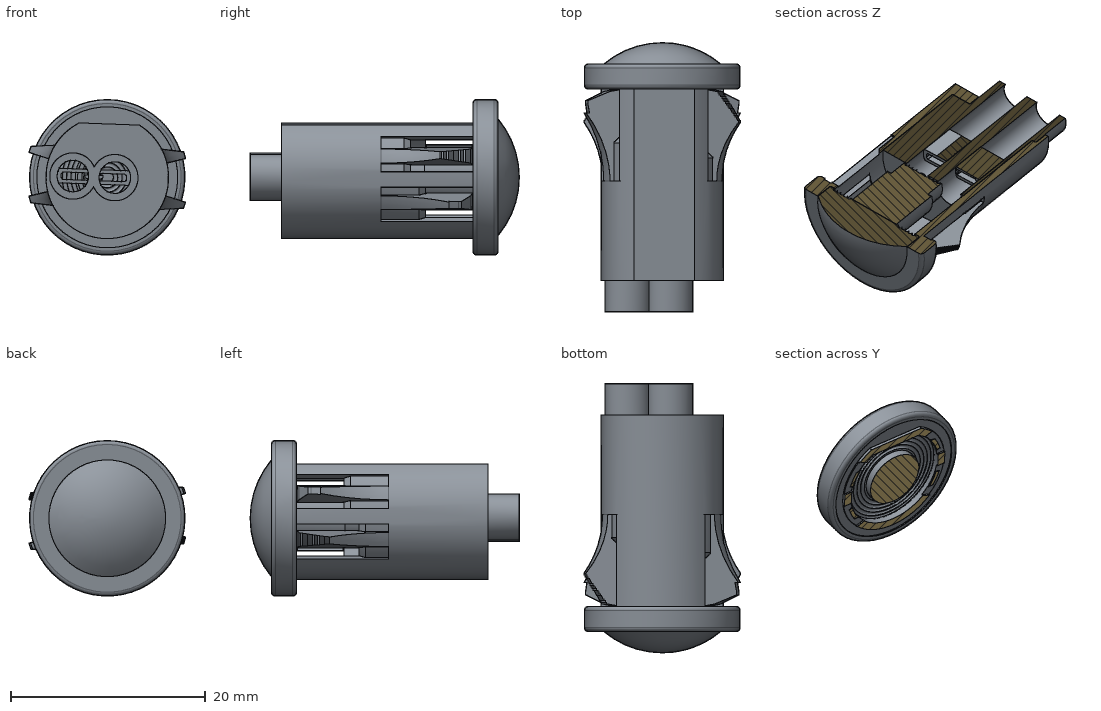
import cadquery as cq
import math

roll_angle = 2.1

barrel_radius = 6.3
barrel_length = 19.67
barrel_flat = 5.48
bore_radius = 5.4
bore_flat = 4.6
floor_thickness = 1.5
flange_radius = 7.99
flange_thickness = 2.58
flange_fillet = 0.4
recess_radius = 7.24
recess_depth = 0.15

window_inner = 0.8
window_outer = 4.35
window_wall_angle = 22
window_length = 9.46
window_floor_radius = 5.9
window_floor_chamfer = 0.68
hooked_floor_front = -4.86
toothed_floor_front = -6.4
arm_angle = 15.5
arm_root_z = 3.1
arm_root_x = 5.53
arm_lean = 4.8
arm_clearance = 0.05
arm_inner_top = -0.05
arm_top = -0.25
hook_radius = 8.45
hook_y = -2.44
hook_shoulder_radius = 8.28
hook_shoulder_start = -1.2
hook_shoulder_end = -1.5
hook_notch_radius = 8.13
tooth_arm_radius = 8.28
tooth_arm_y = -3.4
tooth_count = 18

insert_front = -7.1
tail_end = -22.89
socket_spacing = 4.31
socket_middle_x = -1.375
socket_outer_radius = 2.38
socket_bore_radius = 1.62

contact_height = 1.5
contact_front = -10.0
contact_back = -14.0
contact_slot_height = 0.76
contact_slot_outer = 1.21
contact_slot_inner = 1.5
contact_slot_chamfer = 0.2
contact_tab_length = 0.26
contact_tab_height = 0.35

led_radius = 3.05
led_base_radius = 2.6
led_base_top = -4.97
led_first_groove = 0.85
led_groove_count = 4

lens_radius = 6.0
lens_bottom = 0.6
dome_height = 2.19
dome_radius = (lens_radius**2 + dome_height**2) / (2 * dome_height)
lens_first_groove = 3.5
lens_groove_count = 5

groove_radius = 0.22
groove_pitch = 2 * groove_radius + 0.01


def disc(radius, y_start, y_end, x=0):
    """Cylinder along Y."""
    plane = cq.Workplane("XZ", origin=(x, y_start, 0))
    return plane.circle(radius).extrude(y_start - y_end)


def block(x_start, x_end, y_start, y_end, z_start, z_end):
    """Box between opposite corners."""
    box = cq.Workplane("XY").box(x_end - x_start, y_end - y_start, z_end - z_start, centered=False)
    return box.translate((x_start, y_start, z_start))


def flatted_disc(radius, flat, y_start, y_end):
    """Cylinder along Y with one flat on its +Z side."""
    keep = block(-radius, radius, y_end, y_start, -radius, flat)
    return disc(radius, y_start, y_end).intersect(keep)


def revolve_about_y(outline):
    return outline.close().revolve(360, (0, 0, 0), (0, 1, 0))


def half_turn(shape):
    return shape.rotate((0, 0, 0), (0, 1, 0), 180)


def cut_ring_grooves(body, first_radius, count, y):
    """Cut concentric half-round grooves into the face at height y."""
    for ring in range(count):
        ring_radius = first_radius + ring * groove_pitch
        profile = cq.Workplane("XY").center(ring_radius, y).circle(groove_radius)
        body = body.cut(profile.revolve(360, (-ring_radius, 0, 0), (-ring_radius, 1, 0)))
    return body


def window(floor_front):
    """Cutter for the window at +X, +Z; the window floor is chamfered at its front."""
    inner = bore_radius - 1
    outer = barrel_radius + 1
    sweep = revolve_about_y(
        cq.Workplane("XY")
        .moveTo(inner, 0)
        .lineTo(inner, floor_front)
        .lineTo(bore_radius, floor_front)
        .lineTo(window_floor_radius, floor_front - window_floor_chamfer)
        .lineTo(window_floor_radius, -window_length)
        .lineTo(outer, -window_length)
        .lineTo(outer, 0)
    )
    slope = math.tan(math.radians(window_wall_angle))
    edge_x = math.sqrt(barrel_radius**2 - window_outer**2)
    column = (
        cq.Workplane("XZ")
        .moveTo(0, window_inner)
        .lineTo(outer, window_inner)
        .lineTo(outer, window_outer + (outer - edge_x) * slope)
        .lineTo(0, window_outer - edge_x * slope)
        .close()
        .extrude(window_length)
    )
    return sweep.intersect(column)


def arm_section():
    """Column along Y with the cross-section of the arm at +X, +Z."""
    reach = flange_radius + 2
    start = arm_root_x / 2
    slope = math.tan(math.radians(arm_angle))
    lean = math.tan(math.radians(arm_lean))
    return (
        cq.Workplane("XZ")
        .moveTo(start, start * slope)
        .lineTo(reach, reach * slope)
        .lineTo(reach, arm_root_z - (reach - arm_root_x) * lean)
        .lineTo(start, arm_root_z - (start - arm_root_x) * lean)
        .close()
        .extrude(window_length)
    )


def snap_arm(ramp_points, floor_front):
    """Arm at +X, +Z: ramp points run outward to the widest point, then a curve leads to the root."""
    root_y = -window_length
    tip_radius, tip_y = ramp_points[-1]
    rise = tip_radius - barrel_radius
    run = tip_y - root_y
    curve_radius = (run**2 + rise**2) / (2 * rise)
    middle_run = run / 2
    middle_rise = curve_radius - math.sqrt(curve_radius**2 - middle_run**2)
    back_radius = window_floor_radius + arm_clearance
    shelf_y = floor_front + 2 * arm_clearance
    outline = (
        cq.Workplane("XY")
        .moveTo(bore_radius, arm_inner_top)
        .polyline([(barrel_radius, arm_top)] + ramp_points, includeCurrent=True)
        .threePointArc((barrel_radius + middle_rise, root_y + middle_run), (barrel_radius, root_y))
        .lineTo(back_radius, root_y)
        .lineTo(back_radius, shelf_y - window_floor_chamfer)
        .lineTo(bore_radius, shelf_y)
    )
    return revolve_about_y(outline).intersect(arm_section())


def hooked_arm():
    """Arm at +X, +Z with a smooth ramp, a shallow notch and a hook."""
    ramp = [
        (hook_shoulder_radius, hook_shoulder_start),
        (hook_shoulder_radius, hook_shoulder_end),
        (hook_notch_radius, hook_y),
        (hook_radius, hook_y),
    ]
    return snap_arm(ramp, hooked_floor_front)


def toothed_arm():
    """Arm at +X, +Z with a stepped ramp."""
    step_out = (tooth_arm_radius - barrel_radius) / tooth_count
    step_down = (tooth_arm_y - arm_top) / tooth_count
    ramp = []
    for step in range(1, tooth_count + 1):
        radius = barrel_radius + step * step_out
        ramp.append((radius, arm_top + (step - 1) * step_down))
        ramp.append((radius, arm_top + step * step_down))
    return snap_arm(ramp, toothed_floor_front)


def socket_positions():
    half = socket_spacing / 2
    return [socket_middle_x - half, socket_middle_x + half]


def socket_tail(y_start):
    """Two joined round sockets, without their bores."""
    left_x, right_x = socket_positions()
    left = disc(socket_outer_radius, y_start, tail_end, left_x)
    return left.union(disc(socket_outer_radius, y_start, tail_end, right_x))


def make_housing():
    flange = disc(flange_radius, flange_thickness, 0).edges().fillet(flange_fillet)
    flange = flange.cut(disc(recess_radius, recess_depth, 0))
    housing = flange.union(flatted_disc(barrel_radius, barrel_flat, flange_thickness / 2, -barrel_length))

    floor_y = floor_thickness - barrel_length
    housing = housing.cut(flatted_disc(bore_radius, bore_flat, flange_thickness, floor_y))
    housing = housing.cut(disc(lens_radius, flange_thickness, lens_bottom))
    housing = housing.cut(socket_tail(floor_y))

    toothed = (window(toothed_floor_front), toothed_arm())
    hooked = (window(hooked_floor_front).mirror("XY"), hooked_arm().mirror("XY"))
    for opening, arm in (toothed, hooked):
        housing = housing.cut(opening).cut(half_turn(opening))
        housing = housing.union(arm).union(half_turn(arm))
    return housing


def make_insert():
    floor_y = floor_thickness - barrel_length
    insert = flatted_disc(bore_radius, bore_flat, insert_front, floor_y)
    insert = insert.union(socket_tail(floor_y))
    for x in socket_positions():
        insert = insert.cut(disc(socket_bore_radius, 0, tail_end, x))
    return insert


def make_contact(x, inward):
    """Slotted flat contact across a socket bore; inward is the X direction to the other socket."""
    half_height = contact_height / 2
    bore = disc(socket_bore_radius, contact_front, contact_back)
    contact = bore.intersect(
        block(-socket_bore_radius, socket_bore_radius, contact_back, contact_front, -half_height, half_height)
    )
    half_slot = contact_slot_height / 2
    slot = block(-contact_slot_outer, contact_slot_inner, contact_back, contact_front, -half_slot, half_slot)
    slot = slot.edges("|Y and <X").chamfer(contact_slot_chamfer)
    half_tab = contact_tab_height / 2
    tab_start = contact_slot_inner - contact_tab_length
    tab = block(tab_start, contact_slot_inner, contact_back, contact_front, -half_tab, half_tab)
    contact = contact.cut(slot.cut(tab))
    if inward < 0:
        contact = contact.mirror("YZ")
    return contact.translate((x, 0, 0))


def make_led():
    led = disc(led_radius, lens_bottom, led_base_top)
    led = led.union(disc(led_base_radius, led_base_top, insert_front))
    led = cut_ring_grooves(led, led_first_groove, led_groove_count, insert_front)
    return led


def make_lens():
    apex_y = flange_thickness + dome_height
    arc_x = lens_radius / 2
    arc_y = apex_y - dome_radius + math.sqrt(dome_radius**2 - arc_x**2)
    outline = (
        cq.Workplane("XY")
        .moveTo(0, lens_bottom)
        .lineTo(lens_radius, lens_bottom)
        .lineTo(lens_radius, flange_thickness)
        .threePointArc((arc_x, arc_y), (0, apex_y))
    )
    lens = revolve_about_y(outline)
    lens = cut_ring_grooves(lens, lens_first_groove, lens_groove_count, lens_bottom)
    return lens


left_socket, right_socket = socket_positions()
bodies = [
    make_housing(),
    make_lens(),
    make_insert(),
    make_led(),
    make_contact(left_socket, 1),
    make_contact(right_socket, -1),
]
solids = [body.rotate((0, 0, 0), (0, 1, 0), roll_angle).solids().val() for body in bodies]
result = cq.Compound.makeCompound(solids)